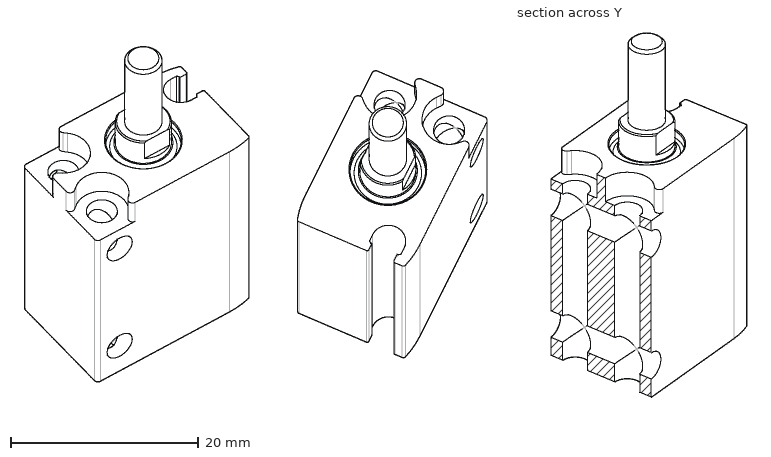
import cadquery as cq
import math

width = 13.5
front_y = -11.0
back_y = 9.47
body_height = 25.5
half_width = width / 2
front_corner_radius = 0.45
back_corner_radius = 0.3
flank_radius = 10.0
flank_length = 3.0

hole_diameter = 3.3
hole_x = 3.5
hole_y = front_y + 3.0
cross_hole_heights = (4.0, 19.5)

pocket_radius = 2.9
pocket_depth = 3.0
tip_radius = 0.5
foot_tip = (1.15, front_y + tip_radius)
side_tip = (half_width - tip_radius, -5.95)

slot_x = -3.55
slot_width = 3.7
slot_depth = 3.8
slot_mouth_width = 2.95
slot_lip = 1.0
slot_mouth_radius = 0.2
slot_step_chamfer = 0.2

recess_diameter = 8.1
recess_depth = 1.0
recess_chamfer = 0.1
lip_base_diameter = 7.2
lip_top_diameter = 6.3
lip_height = 0.6

total_height = 38.5
rod_diameter = 4.0
rod_chamfer = 0.35
collar_diameter = 6.0
collar_rise = 3.0
collar_seat = 3.0
collar_chamfer = 0.15
flat_half_width = 2.5
flat_rise = 0.4


def housing_block():
    """Extruded outline with rounded front corners and curved back flanks."""
    flank_start_y = back_y - flank_length

    def flank_x(along):
        return half_width - flank_radius + math.sqrt(flank_radius**2 - along**2)

    middle = (flank_x(flank_length / 2), flank_start_y + flank_length / 2)
    end = (flank_x(flank_length), back_y)
    block = (
        cq.Workplane("XY")
        .moveTo(-half_width, front_y)
        .lineTo(half_width, front_y)
        .lineTo(half_width, flank_start_y)
        .threePointArc(middle, end)
        .lineTo(-end[0], end[1])
        .threePointArc((-middle[0], middle[1]), (-half_width, flank_start_y))
        .close()
        .extrude(body_height)
    )
    block = block.edges("|Z and <Y").fillet(front_corner_radius)
    return block.edges("|Z and >Y").fillet(back_corner_radius)


def point_on_circle(center, radius, angle):
    return (center[0] + radius * math.cos(angle), center[1] + radius * math.sin(angle))


def tip_tangent_angle(tip, turn):
    """Angle, at a tip centre, of the straight line that crosses over to the pocket arc.

    The line touches the tip and the pocket circle on opposite sides. Of the two such
    lines, turn picks the one clockwise (-1) or counterclockwise (+1) of the centre line.
    """
    dx = hole_x - tip[0]
    dy = hole_y - tip[1]
    offset = math.acos((tip_radius + pocket_radius) / math.hypot(dx, dy))
    return math.atan2(dy, dx) + turn * offset


def head_pocket():
    """Open pocket at the +X front corner, its wall ending in two rounded tips."""
    foot_angle = tip_tangent_angle(foot_tip, -1)
    side_angle = tip_tangent_angle(side_tip, 1)
    foot_start_angle = -math.pi / 2
    arc_start_angle = foot_angle + math.pi
    arc_end_angle = side_angle + math.pi
    arc_middle_angle = (arc_start_angle + arc_end_angle) / 2
    center = (hole_x, hole_y)
    return (
        cq.Workplane("XY", origin=(0, 0, body_height - pocket_depth))
        .moveTo(foot_tip[0], front_y)
        .threePointArc(
            point_on_circle(foot_tip, tip_radius, (foot_start_angle + foot_angle) / 2),
            point_on_circle(foot_tip, tip_radius, foot_angle),
        )
        .lineTo(*point_on_circle(center, pocket_radius, arc_start_angle))
        .threePointArc(
            point_on_circle(center, pocket_radius, arc_middle_angle),
            point_on_circle(center, pocket_radius, arc_end_angle),
        )
        .lineTo(*point_on_circle(side_tip, tip_radius, side_angle))
        .threePointArc(
            point_on_circle(side_tip, tip_radius, side_angle / 2),
            (half_width, side_tip[1]),
        )
        .lineTo(half_width, front_y)
        .close()
        .extrude(pocket_depth)
    )


def sensor_slot():
    """Round-bottomed slot along Z, with a narrower mouth in the back face."""
    slot_radius = slot_width / 2
    center_y = back_y - slot_depth + slot_radius
    lip_y = back_y - slot_lip
    channel = (
        cq.Workplane("XY")
        .moveTo(slot_x - slot_radius, lip_y)
        .lineTo(slot_x - slot_radius, center_y)
        .threePointArc((slot_x, back_y - slot_depth), (slot_x + slot_radius, center_y))
        .lineTo(slot_x + slot_radius, lip_y)
        .close()
        .extrude(body_height)
        .edges("|Z and >Y")
        .chamfer(slot_step_chamfer)
    )
    mouth = (
        cq.Workplane("XY")
        .center(slot_x, (center_y + back_y) / 2)
        .rect(slot_mouth_width, back_y - center_y)
        .extrude(body_height)
    )
    return channel.union(mouth)


def round_slot_mouth(body):
    for side in (-1, 1):
        corner = (slot_x + side * slot_mouth_width / 2, back_y, body_height / 2)
        body = body.edges(cq.selectors.NearestToPointSelector(corner)).fillet(slot_mouth_radius)
    return body


def rod_recess():
    """Revolved cavity around the rod: chamfered recess, wiper lip and rod seat."""
    floor_z = body_height - recess_depth
    recess_radius = recess_diameter / 2
    return (
        cq.Workplane("XZ")
        .moveTo(0, body_height - collar_seat)
        .lineTo(collar_diameter / 2, body_height - collar_seat)
        .lineTo(collar_diameter / 2, floor_z + lip_height)
        .lineTo(lip_top_diameter / 2, floor_z + lip_height)
        .lineTo(lip_base_diameter / 2, floor_z)
        .lineTo(recess_radius, floor_z)
        .lineTo(recess_radius, body_height - recess_chamfer)
        .lineTo(recess_radius + recess_chamfer, body_height)
        .lineTo(0, body_height)
        .close()
        .revolve(360, (0, 0, 0), (0, 1, 0))
    )


def make_housing():
    pocket = head_pocket()
    body = housing_block().cut(pocket).cut(pocket.mirror("YZ"))
    body = round_slot_mouth(body.cut(sensor_slot()))
    body = body.cut(rod_recess())
    vertical_holes = (
        cq.Workplane("XY")
        .pushPoints([(-hole_x, hole_y), (hole_x, hole_y)])
        .circle(hole_diameter / 2)
        .extrude(body_height)
    )
    cross_holes = (
        cq.Workplane("YZ", origin=(-half_width, 0, 0))
        .pushPoints([(hole_y, z) for z in cross_hole_heights])
        .circle(hole_diameter / 2)
        .extrude(width)
    )
    return body.cut(vertical_holes).cut(cross_holes)


def make_piston_rod():
    """Stepped rod with two wrench flats on its collar."""
    collar_height = collar_seat + collar_rise
    collar = (
        cq.Workplane("XY", origin=(0, 0, body_height - collar_seat))
        .circle(collar_diameter / 2)
        .extrude(collar_height)
        .faces(">Z")
        .chamfer(collar_chamfer)
    )
    collar_top = body_height + collar_rise
    flat_depth = collar_diameter / 2 - flat_half_width
    for side in (-1, 1):
        flat_cutter = (
            cq.Workplane("XY", origin=(0, 0, body_height + flat_rise))
            .center(side * (flat_half_width + flat_depth / 2), 0)
            .rect(flat_depth, collar_diameter)
            .extrude(collar_rise - flat_rise)
        )
        collar = collar.cut(flat_cutter)
    shank = (
        cq.Workplane("XY", origin=(0, 0, collar_top))
        .circle(rod_diameter / 2)
        .extrude(total_height - collar_top)
        .faces(">Z")
        .chamfer(rod_chamfer)
    )
    return collar.union(shank)


housing = make_housing()
piston_rod = make_piston_rod()

result = cq.Compound.makeCompound([housing.val(), piston_rod.val()])